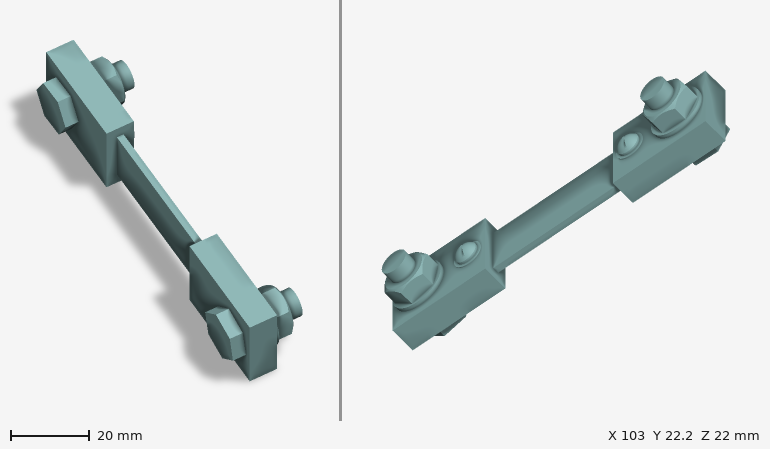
import cadquery as cq
import math

LENGTH = 103.0
BLOCK_LENGTH = 30.5
BLOCK_THICKNESS = 8.0
BLOCK_HEIGHT = 22.0
STRIP_THICKNESS = 2.0
STRIP_HEIGHT = 15.2
BLOCK_BACK = BLOCK_THICKNESS / 2
BLOCK_FRONT = -BLOCK_BACK

BOLT_INSET = 9.0
BOLT_DIAMETER = 7.9
HEX_ACROSS_FLATS = 12.8
HEX_ACROSS_CORNERS = HEX_ACROSS_FLATS / math.cos(math.pi / 6)
HEAD_HEIGHT = 3.8
WASHER_DIAMETER = 16.0
WASHER_THICKNESS = 1.2
NUT_HEIGHT = 5.3
NUT_TOP_DIAMETER = 12.2
NUT_CHAMFER_HEIGHT = 1.0
BOLT_PROTRUSION = 3.9
LEFT_HEX_ANGLE = 2.5
RIGHT_HEX_ANGLE = -17.5

SCREW_INSET = 24.8
SCREW_DIAMETER = 6.8
SCREW_WASHER_DIAMETER = 8.7
SCREW_WASHER_THICKNESS = 0.3
SCREW_RIM_HEIGHT = 0.7
SCREW_DOME_HEIGHT = 1.9
SLOT_WIDTH = 0.8
SLOT_DEPTH = 1.0


def plane_at(x, y):
    """XZ plane facing +Y, with its local Y axis along +Z."""
    return cq.Plane(origin=(x, y, 0), xDir=(-1, 0, 0), normal=(0, 1, 0))


def disc(x, y, diameter, thickness):
    return cq.Workplane(plane_at(x, y)).circle(diameter / 2).extrude(thickness)


def hexagon(x, y, height, angle):
    """Hexagonal prism growing toward +Y, with a corner at the given angle from +X."""
    prism = cq.Workplane(plane_at(x, y)).polygon(6, HEX_ACROSS_CORNERS).extrude(height)
    return prism.rotate((x, 0, 0), (x, -1, 0), angle)


def nut(x, y, angle):
    """Hexagonal nut whose corners are cut by a cone at the outer end."""
    corner_radius = HEX_ACROSS_CORNERS / 2
    envelope = (
        cq.Workplane("XY")
        .moveTo(0, 0)
        .lineTo(corner_radius, 0)
        .lineTo(corner_radius, NUT_HEIGHT - NUT_CHAMFER_HEIGHT)
        .lineTo(NUT_TOP_DIAMETER / 2, NUT_HEIGHT)
        .lineTo(0, NUT_HEIGHT)
        .close()
        .revolve(360, (0, 0, 0), (0, 1, 0))
        .translate((x, y, 0))
    )
    return hexagon(x, y, NUT_HEIGHT, angle).intersect(envelope)


def terminal_bolt(x, angle):
    head_base = BLOCK_FRONT - HEAD_HEIGHT
    nut_base = BLOCK_BACK + WASHER_THICKNESS
    bolt_end = nut_base + NUT_HEIGHT + BOLT_PROTRUSION
    return (
        hexagon(x, head_base, HEAD_HEIGHT, angle)
        .union(disc(x, BLOCK_FRONT, BOLT_DIAMETER, bolt_end - BLOCK_FRONT))
        .union(disc(x, BLOCK_BACK, WASHER_DIAMETER, WASHER_THICKNESS))
        .union(nut(x, nut_base, angle))
    )


def dome_screw(x):
    rim_base = BLOCK_BACK + SCREW_WASHER_THICKNESS
    radius = SCREW_DIAMETER / 2
    dome_radius = (radius**2 + SCREW_DOME_HEIGHT**2) / (2 * SCREW_DOME_HEIGHT)
    head_height = SCREW_RIM_HEIGHT + SCREW_DOME_HEIGHT
    half_angle = math.asin(radius / dome_radius) / 2
    arc_middle = (
        dome_radius * math.sin(half_angle),
        head_height - dome_radius * (1 - math.cos(half_angle)),
    )
    head = (
        cq.Workplane("XY")
        .moveTo(0, 0)
        .lineTo(radius, 0)
        .lineTo(radius, SCREW_RIM_HEIGHT)
        .threePointArc(arc_middle, (0, head_height))
        .close()
        .revolve(360, (0, 0, 0), (0, 1, 0))
        .translate((x, rim_base, 0))
    )
    slot_floor = rim_base + head_height - SLOT_DEPTH
    slot = cq.Workplane(plane_at(x, slot_floor)).rect(SLOT_WIDTH, SCREW_DIAMETER).extrude(SLOT_DEPTH)
    washer = disc(x, BLOCK_BACK, SCREW_WASHER_DIAMETER, SCREW_WASHER_THICKNESS)
    return head.cut(slot).union(washer)


result = cq.Workplane("XY").box(LENGTH - 2 * BLOCK_LENGTH, STRIP_THICKNESS, STRIP_HEIGHT)

for side, hex_angle in ((-1, LEFT_HEX_ANGLE), (1, RIGHT_HEX_ANGLE)):
    block_centre = side * (LENGTH - BLOCK_LENGTH) / 2
    block = cq.Workplane("XY").box(BLOCK_LENGTH, BLOCK_THICKNESS, BLOCK_HEIGHT)
    result = result.union(block.translate((block_centre, 0, 0)))
    result = result.union(terminal_bolt(side * (LENGTH / 2 - BOLT_INSET), hex_angle))
    result = result.union(dome_screw(side * (LENGTH / 2 - SCREW_INSET)))